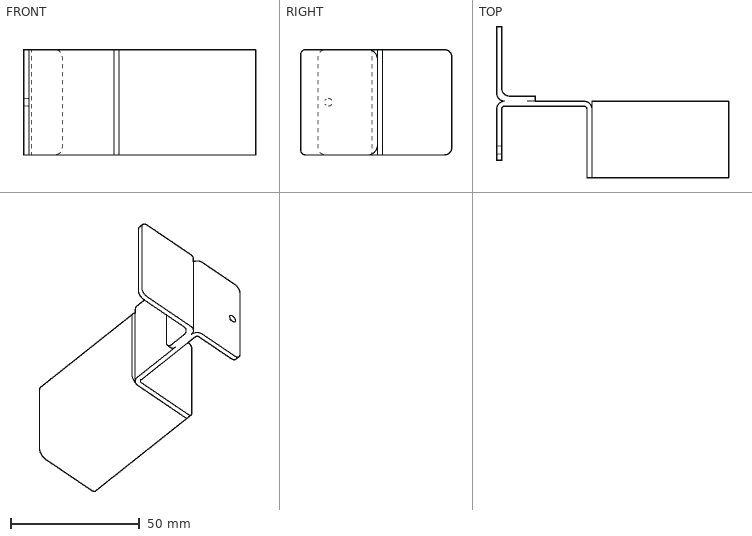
import cadquery as cq
height = 41.0
sheet = 2.0
bend_inner = 1.0
bend_outer = bend_inner + sheet
corner_radius = 3.0

flange_front_span = 23.0
flange_back_span = 29.0

web_length = 37.0
web_back = 29.85
flange_front = web_back - flange_front_span
flange_back = web_back + flange_back_span

leg_length = 15.0
leg_bend_inner = 3.0

hole_diameter = 3.0
hole_edge_distance = 4.0

block_length = 53.2
front_edge_radius = 2.0
rear_edge_radius = 3.8
end_edge_radius = 0.2

pick_margin = 1.0


def full_height_box(x_start, x_end, y_start, y_end):
    """Box over the whole height between the given X and Y limits."""
    return (
        cq.Workplane("XY")
        .box(x_end - x_start, y_end - y_start, height, centered=False)
        .translate((x_start, y_start, 0))
    )


def bent_strip():
    """Front half of the flange, the web and the front plate as one bent sheet."""
    outer = full_height_box(0, web_length, 0, web_back)
    outer = outer.edges("|Z and >Y").fillet(bend_outer)
    hollow = full_height_box(sheet, web_length - sheet, 0, web_back - sheet)
    hollow = hollow.edges("|Z and >Y").fillet(bend_inner)
    strip = outer.cut(hollow).cut(full_height_box(0, sheet, 0, flange_front))

    flange_edge = cq.selectors.BoxSelector(
        (-pick_margin, flange_front - pick_margin, -pick_margin),
        (sheet + pick_margin, flange_front + pick_margin, height + pick_margin),
    )
    strip = strip.edges("|X").edges(flange_edge).fillet(corner_radius)
    return strip.edges("|X and <Y").fillet(front_edge_radius)


def leg_strip():
    """Rear half of the flange with the short leg bent along the back of the web."""
    outer = full_height_box(0, leg_length, web_back, flange_back)
    outer = outer.edges("|Z and <X and <Y").fillet(bend_outer)
    hollow = full_height_box(sheet, leg_length, web_back + sheet, flange_back)
    hollow = hollow.edges("|Z and <X and <Y").fillet(leg_bend_inner)
    strip = outer.cut(hollow)
    strip = strip.edges("|Y and >X").fillet(corner_radius)
    return strip.edges("|X and >Y").fillet(corner_radius)


def flange_hole():
    """Cutter for the small hole near the front edge of the flange."""
    return (
        cq.Workplane("YZ")
        .center(flange_front + hole_edge_distance, height / 2)
        .circle(hole_diameter / 2)
        .extrude(sheet)
    )


def make_bracket():
    """Both bent sheets joined back to back into one solid."""
    return bent_strip().union(leg_strip()).cut(flange_hole())


def make_block():
    """Solid block standing against the back of the front plate."""
    body = full_height_box(web_length, web_length + block_length, 0, web_back)
    body = body.edges("|X and <Y").fillet(front_edge_radius)
    body = body.edges("|X and >Y").fillet(rear_edge_radius)
    return body.faces(">X").edges().fillet(end_edge_radius)


bracket = make_bracket()
block = make_block()

result = cq.Compound.makeCompound([bracket.val(), block.val()])